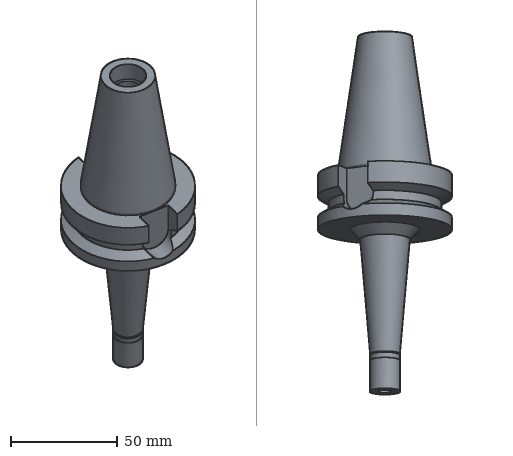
import cadquery as cq
import math

total_height = 170.4
gauge_height = 105.0
flange_top = 104.0
flange_bottom = 77.9

taper_large_radius = 22.3
taper_ratio = 7 / 24
taper_small_radius = taper_large_radius - taper_ratio / 2 * (total_height - gauge_height)

flange_radius = 31.5
upper_rim_height = 10.2
lower_rim_height = 5.8
groove_radius = 26.5
groove_side_angle = 30.0
groove_side_height = (flange_radius - groove_radius) * math.tan(math.radians(groove_side_angle))
groove_top = flange_top - upper_rim_height
groove_bottom = flange_bottom + lower_rim_height

slot_width = 16.0
slot_depth = 22.2
slot_floor = 22.5
slot_end_height = flange_top - slot_depth + slot_width / 2

shoulder_radius = 16.5
neck_top_radius = 11.8
neck_top = flange_bottom - (shoulder_radius - neck_top_radius)

cap_radius = 7.2
cap_height = 17.9
cap_chamfer = 0.5
cap_bore_radius = 3.0
seam_height = 14.8
seam_radius_step = 0.09
collar_radius = cap_radius - seam_radius_step
neck_end_radius = collar_radius

mouth_radius = 8.5
mouth_depth = 9.0
pull_stud_radius = 7.0
pull_stud_depth = 40.9
through_radius = 4.0


def revolve_profile(points):
    """Full turn about Z of a closed (radius, height) outline."""
    return cq.Workplane("XZ").polyline(points).close().revolve(360, (0, 0, 0), (0, 1, 0))


def make_holder_blank():
    """Holder from neck to spindle taper, with its stepped bore."""
    return revolve_profile([
        (through_radius, cap_height),
        (neck_end_radius, cap_height),
        (neck_top_radius, neck_top),
        (shoulder_radius, flange_bottom),
        (flange_radius, flange_bottom),
        (flange_radius, groove_bottom),
        (groove_radius, groove_bottom + groove_side_height),
        (groove_radius, groove_top - groove_side_height),
        (flange_radius, groove_top),
        (flange_radius, flange_top),
        (taper_large_radius, flange_top),
        (taper_large_radius, gauge_height),
        (taper_small_radius, total_height),
        (mouth_radius, total_height),
        (mouth_radius, total_height - mouth_depth),
        (pull_stud_radius, total_height - mouth_depth),
        (pull_stud_radius, total_height - pull_stud_depth),
        (through_radius, total_height - pull_stud_depth),
    ])


def make_slot_cutter(side):
    """Round-ended drive slot, open upward and outward, on the +X or -X side."""
    half_width = slot_width / 2
    return (
        cq.Workplane("YZ", origin=(side * slot_floor, 0, 0))
        .moveTo(-half_width, flange_top)
        .lineTo(-half_width, slot_end_height)
        .threePointArc((0, slot_end_height - half_width), (half_width, slot_end_height))
        .lineTo(half_width, flange_top)
        .close()
        .extrude(side * flange_radius)
    )


def make_holder():
    holder = make_holder_blank()
    for side in (-1, 1):
        holder = holder.cut(make_slot_cutter(side))
    return holder


def make_nose_cap():
    """Sleeve on the end of the neck, with a chamfered collar at its top."""
    return revolve_profile([
        (cap_bore_radius, 0),
        (cap_radius, 0),
        (cap_radius, seam_height),
        (collar_radius, seam_height),
        (collar_radius, cap_height - cap_chamfer),
        (collar_radius - cap_chamfer, cap_height),
        (cap_bore_radius, cap_height),
    ])


holder = make_holder()
nose_cap = make_nose_cap()
result = cq.Compound.makeCompound([holder.val(), nose_cap.val()])